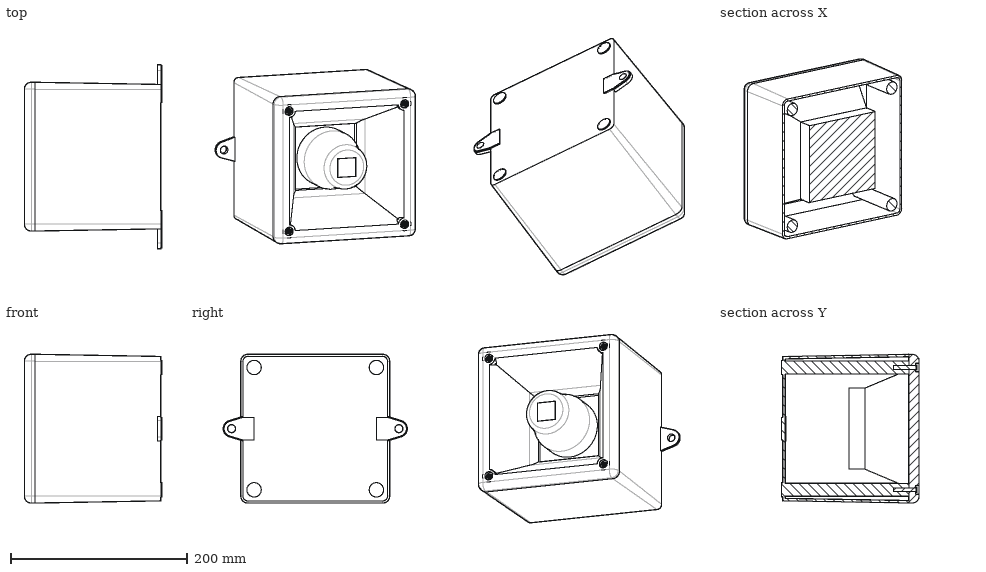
import cadquery as cq
import math


CASE_SIZE = 169.0
COVER_DEPTH = 12.0
BOX_BACK = 155.0
FRONT_FILLET = 8.0
COVER_CORNER_RADIUS = 8.0
BOX_CORNER_RADIUS = 8.1
BOX_DRAFT = 1.0
WALL = 3.1

MOUTH_SIZE = 137.5
BEND_SIZE = 85.7
BEND_DEPTH = 61.6
THROAT_SIZE = 73.1
THROAT_DEPTH = 72.7
THROAT_BULGE = 0.6
FLOOR_SIZE = 71.5
FLOOR_DEPTH = 76.3

DOME_FRONT = 0.5
DOME_FILLET = 5.2
DOME_NOSE_RADIUS = 25.5
DOME_RIM_RADIUS = 33.6
DOME_RIM_DEPTH = 51.0
DOME_WAIST_DEPTH = 28.2
DOME_WAIST_RADIUS = 28.2

LABEL_SIZE = 21.5
LABEL_THICKNESS = 0.8

SCREW_OFFSET = 69.4
COLUMN_RADIUS = 7.5
COVER_COLUMN_DEPTH = 8.8
COUNTERBORE_RADIUS = 4.8
COUNTERBORE_DEPTH = 4.0
HEAD_RADIUS = 3.0
HEAD_HEIGHT = 1.7
SHANK_RADIUS = 1.9
SHANK_LENGTH = 25.0
CROSS_LENGTH = 5.0
CROSS_WIDTH = 1.0
CROSS_DEPTH = 1.3

LUG_THICKNESS = 4.0
LUG_HOLE_OFFSET = 94.9
LUG_HOLE_RADIUS = 4.4
LUG_TIP = 104.5
LUG_END_RADIUS = LUG_TIP - LUG_HOLE_OFFSET
LUG_FLARE = 17.0
LUG_ROOT = 82.0
LUG_FOOT_INSET = 1.0
FOOT_HEIGHT = 1.5
FOOT_RADIUS = 8.1

CORNERS = [(y * SCREW_OFFSET, z * SCREW_OFFSET) for y in (-1, 1) for z in (-1, 1)]


def plane_at(x):
    """Sketch plane across the axis at x: local x is Y, local y is Z, extrusion goes to +X."""
    return cq.Workplane("YZ", origin=(x, 0, 0))


def discs(x, radius, length):
    """Four cylinders on the screw axes, from x towards +X."""
    return plane_at(x).pushPoints(CORNERS).circle(radius).extrude(length)


def frustum(front, front_size, back, back_size):
    """Square frustum between two depths."""
    return (
        plane_at(front)
        .rect(front_size, front_size)
        .workplane(offset=back - front)
        .rect(back_size, back_size)
        .loft(ruled=True)
    )


def curved_throat():
    """Square throat whose four walls are the same arc, turning towards the axis."""
    bend, throat = BEND_SIZE / 2, THROAT_SIZE / 2
    run, rise = THROAT_DEPTH - BEND_DEPTH, bend - throat
    chord = math.hypot(run, rise)
    middle = ((BEND_DEPTH + THROAT_DEPTH) / 2 + THROAT_BULGE * rise / chord,
              (bend + throat) / 2 + THROAT_BULGE * run / chord)

    def slab(plane):
        """Block bounded by the arc on both sides, long enough to cover the other direction."""
        return (
            cq.Workplane(plane)
            .moveTo(BEND_DEPTH, -bend)
            .lineTo(BEND_DEPTH, bend)
            .threePointArc(middle, (THROAT_DEPTH, throat))
            .lineTo(THROAT_DEPTH, -throat)
            .threePointArc((middle[0], -middle[1]), (BEND_DEPTH, -bend))
            .close()
            .extrude(bend, both=True)
        )

    return slab("XY").intersect(slab("XZ"))


def horn_space():
    """Air space of the horn, from the mouth to the floor."""
    funnel = frustum(0, MOUTH_SIZE, BEND_DEPTH, BEND_SIZE)
    lip = frustum(THROAT_DEPTH, THROAT_SIZE, FLOOR_DEPTH, FLOOR_SIZE)
    return funnel.union(curved_throat()).union(lip)


def horn_envelope():
    """Outside of the horn: straight walls to the bend, then square to behind the floor."""
    outer_bend = BEND_SIZE + 2 * WALL
    funnel = frustum(0, MOUTH_SIZE + 2 * WALL, BEND_DEPTH, outer_bend)
    base = plane_at(BEND_DEPTH).rect(outer_bend, outer_bend).extrude(FLOOR_DEPTH + WALL - BEND_DEPTH)
    return funnel.union(base)


def make_cover():
    """Rounded front frame with the horn and the four screw columns."""
    frame = (
        plane_at(0).rect(CASE_SIZE, CASE_SIZE).extrude(COVER_DEPTH)
        .edges("|X").fillet(COVER_CORNER_RADIUS)
        .faces("<X").edges().fillet(FRONT_FILLET)
    )
    cover = frame.union(horn_envelope()).cut(horn_space())
    cover = cover.union(discs(0, COLUMN_RADIUS, COVER_COLUMN_DEPTH))
    cover = cover.cut(discs(0, COUNTERBORE_RADIUS, COUNTERBORE_DEPTH))
    return cover.cut(discs(0, SHANK_RADIUS, COVER_DEPTH))


def lug_plate(x, thickness, inset, inner_end):
    """Plate of one +Y lug: tapered sides, round end, straight from the root to inner_end."""
    radius = LUG_END_RADIUS - inset
    flare = math.radians(LUG_FLARE)
    tangent_y = LUG_HOLE_OFFSET + radius * math.sin(flare)
    tangent_z = radius * math.cos(flare)
    root_z = tangent_z + (tangent_y - LUG_ROOT) * math.tan(flare)
    plate = (
        plane_at(x)
        .moveTo(inner_end, -root_z)
        .lineTo(LUG_ROOT, -root_z)
        .lineTo(tangent_y, -tangent_z)
        .threePointArc((LUG_HOLE_OFFSET + radius, 0), (tangent_y, tangent_z))
        .lineTo(LUG_ROOT, root_z)
        .lineTo(inner_end, root_z)
        .close()
        .extrude(thickness)
    )
    hole = plane_at(x).center(LUG_HOLE_OFFSET, 0).circle(LUG_HOLE_RADIUS).extrude(thickness)
    return plate.cut(hole)


def make_lug():
    """One +Y mounting lug with the raised foot behind it."""
    lug = lug_plate(BOX_BACK - LUG_THICKNESS, LUG_THICKNESS, 0, LUG_ROOT - WALL)
    foot = lug_plate(BOX_BACK, FOOT_HEIGHT, LUG_FOOT_INSET, SCREW_OFFSET)
    return lug.union(foot)


def make_box():
    """Drafted box, hollow and open to the front, with columns, lugs and feet."""
    length = BOX_BACK - COVER_DEPTH
    inner_size = CASE_SIZE - 2 * WALL
    outline = cq.Sketch().rect(CASE_SIZE, CASE_SIZE).vertices().fillet(BOX_CORNER_RADIUS)
    cavity = cq.Sketch().rect(inner_size, inner_size).vertices().fillet(BOX_CORNER_RADIUS - WALL)
    box = plane_at(COVER_DEPTH).placeSketch(outline).extrude(length, taper=BOX_DRAFT)
    box = box.cut(plane_at(COVER_DEPTH).placeSketch(cavity).extrude(length - WALL, taper=BOX_DRAFT))

    box = box.union(discs(COVER_DEPTH, COLUMN_RADIUS, length))
    box = box.cut(horn_envelope())
    box = box.cut(discs(COVER_DEPTH, SHANK_RADIUS, COUNTERBORE_DEPTH + SHANK_LENGTH - COVER_DEPTH))

    lug = make_lug()
    box = box.union(lug).union(lug.mirror("XZ"))
    return box.union(discs(BOX_BACK, FOOT_RADIUS, FOOT_HEIGHT))


def label_block():
    """Square label, flush with the dome face; it also shapes its own recess."""
    return plane_at(DOME_FRONT).rect(LABEL_SIZE, LABEL_SIZE).extrude(LABEL_THICKNESS)


def make_dome():
    """Turned plug standing on the horn floor: round nose, hollow flare, straight base."""
    nose_end = DOME_FRONT + DOME_FILLET
    corner = DOME_FILLET * math.sqrt(0.5)
    nose_center = DOME_NOSE_RADIUS - DOME_FILLET
    profile = (
        cq.Workplane("XZ")
        .moveTo(DOME_FRONT, 0)
        .lineTo(DOME_FRONT, nose_center)
        .threePointArc((nose_end - corner, nose_center + corner), (nose_end, DOME_NOSE_RADIUS))
        .threePointArc((DOME_WAIST_DEPTH, DOME_WAIST_RADIUS), (DOME_RIM_DEPTH, DOME_RIM_RADIUS))
        .lineTo(FLOOR_DEPTH, DOME_RIM_RADIUS)
        .lineTo(FLOOR_DEPTH, 0)
        .close()
    )
    return profile.revolve(360, (0, 0, 0), (1, 0, 0)).cut(label_block())


def make_screw(y, z):
    """Cross-head screw seated on the floor of its counterbore."""
    head_front = COUNTERBORE_DEPTH - HEAD_HEIGHT
    head = plane_at(head_front).center(y, z).circle(HEAD_RADIUS).extrude(HEAD_HEIGHT)
    shank = plane_at(COUNTERBORE_DEPTH).center(y, z).circle(SHANK_RADIUS).extrude(SHANK_LENGTH)
    screw = head.union(shank)
    for width, height in ((CROSS_LENGTH, CROSS_WIDTH), (CROSS_WIDTH, CROSS_LENGTH)):
        screw = screw.cut(plane_at(head_front).center(y, z).rect(width, height).extrude(CROSS_DEPTH))
    return screw


cover = make_cover()
box = make_box()
dome = make_dome()
label = label_block()
screws = [make_screw(y, z) for y, z in CORNERS]

result = cq.Compound.makeCompound(
    [cover.val(), box.val(), dome.val(), label.val(), *[screw.val() for screw in screws]]
)